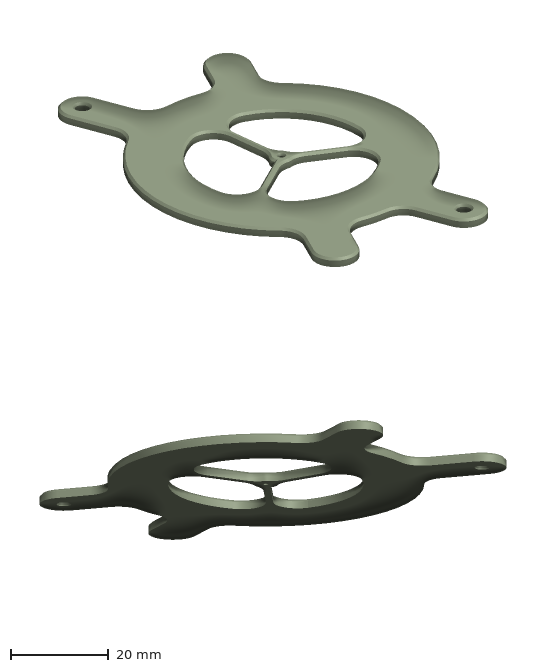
import cadquery as cq
import math

thickness = 2.0
edge_chamfer = 0.5
disc_radius = 32.4
overall_length = 94.2

match_tolerance = 0.01

arm_width = 10.0
arm_root_fillet = 5.0
slant_angle = 45.0
slant_hole_spacing = 90.0
slant_center = (0.5, -1.9)
slant_hole_diameter = 3.0

window_radius = 20.0
window_corner_fillet = 5.0
spoke_width = 1.5
spoke_angles = (90, 210, 330)
hub_diameter = 5.0
hub_radius = hub_diameter / 2
hub_fillet = 5.0
hub_hole_diameter = 1.0


def make_arms(center, length, angle):
    """Bar with round ends, forming two opposite arms."""
    return cq.Workplane("XY").center(*center).slot2D(length, arm_width, angle).extrude(thickness)


def make_plate():
    """Disc with four arms, blended where the arms leave the rim."""
    disc = cq.Workplane("XY").circle(disc_radius).extrude(thickness)
    level_arms = make_arms((0, 0), overall_length, 0)
    slant_arms = make_arms(slant_center, slant_hole_spacing + arm_width, slant_angle)
    plate = disc.union(level_arms).union(slant_arms)

    def is_arm_root(edge):
        return abs(math.hypot(edge.Center().x, edge.Center().y) - disc_radius) < match_tolerance

    return plate.edges("|Z").filter(is_arm_root).fillet(arm_root_fillet)


def make_windows():
    """Three openings left between the hub, the spokes and the window rim."""
    windows = cq.Workplane("XY").circle(window_radius).circle(hub_radius).extrude(thickness)
    for angle in spoke_angles:
        spoke = (
            cq.Workplane("XY")
            .transformed(rotate=(0, 0, angle))
            .center(window_radius, 0)
            .rect(2 * window_radius, spoke_width)
            .extrude(thickness)
        )
        windows = windows.cut(spoke)

    def is_rim_corner(edge):
        return math.hypot(edge.Center().x, edge.Center().y) > window_radius / 2

    def is_blended_hub_corner(edge):
        x, y = edge.Center().x, edge.Center().y
        is_sharp = x > hub_radius / 2 and y < -hub_radius / 2
        return math.hypot(x, y) < window_radius / 2 and not is_sharp

    windows = windows.edges("|Z").filter(is_rim_corner).fillet(window_corner_fillet)
    return windows.edges("|Z").filter(is_blended_hub_corner).fillet(hub_fillet)


def make_holes():
    """Through holes in the hub and near the ends of the slanted arms."""
    hub_hole = cq.Workplane("XY").circle(hub_hole_diameter / 2).extrude(thickness)
    arm_holes = (
        cq.Workplane("XY")
        .center(*slant_center)
        .polarArray(slant_hole_spacing / 2, slant_angle, 360, 2)
        .circle(slant_hole_diameter / 2)
        .extrude(thickness)
    )
    return hub_hole.union(arm_holes)


plate = make_plate().cut(make_windows()).cut(make_holes())

result = plate.faces(">Z").edges().chamfer(edge_chamfer)